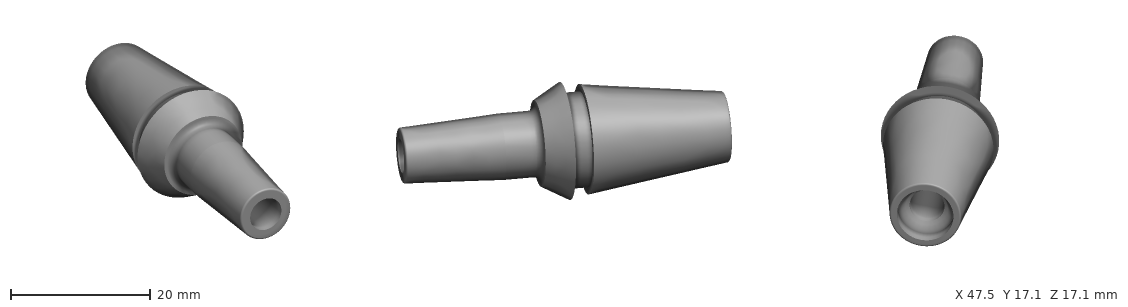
import cadquery as cq
import math

total_length = 47.5
taper_end = 20.75
groove_end = 23.5
collar_end = 27.5
shank_end = 33.0

taper_tip_radius = 5.15
taper_base_radius = 8.0
groove_radius = 6.95
collar_rim_radius = 8.55
collar_back_radius = 6.25
shank_radius = 4.8
tail_tip_radius = 4.05

root_fillet = 1.0
tip_round = 0.3

bore_radius = 2.5
counterbore_radius = 4.1
counterbore_depth = 2.05
seat_angle = 60.0

start_x = -total_length / 2


def make_body():
    """Revolve the outer profile about the X axis rounding the end rims and the shank root."""
    half_profile = [
        (0, 0),
        (0, taper_tip_radius),
        (taper_end, taper_base_radius),
        (taper_end, groove_radius),
        (groove_end, groove_radius),
        (groove_end, collar_rim_radius),
        (collar_end, collar_back_radius),
        (collar_end, shank_radius),
        (shank_end, shank_radius),
        (total_length, tail_tip_radius),
        (total_length, 0),
    ]
    body = revolve_about_x(half_profile)
    body = body.faces("<X or >X").edges().fillet(tip_round)
    reach = (shank_radius + collar_back_radius) / 2
    root = cq.selectors.BoxSelector(
        (start_x + collar_end - root_fillet, -reach, -reach),
        (start_x + collar_end + root_fillet, reach, reach),
        boundingbox=True,
    )
    return body.edges(root).fillet(root_fillet)


def make_bore():
    """Through bore with a counterbore and conical seat at the wide-taper end."""
    seat_length = (counterbore_radius - bore_radius) / math.tan(math.radians(seat_angle))
    half_profile = [
        (0, 0),
        (0, counterbore_radius),
        (counterbore_depth, counterbore_radius),
        (counterbore_depth + seat_length, bore_radius),
        (total_length, bore_radius),
        (total_length, 0),
    ]
    return revolve_about_x(half_profile)


def revolve_about_x(half_profile):
    """Revolve (station, radius) points about X, with the part centred on its length."""
    profile = cq.Workplane("XY", origin=(start_x, 0, 0)).polyline(half_profile).close()
    return profile.revolve(360, (0, 0, 0), (1, 0, 0))


result = make_body().cut(make_bore())